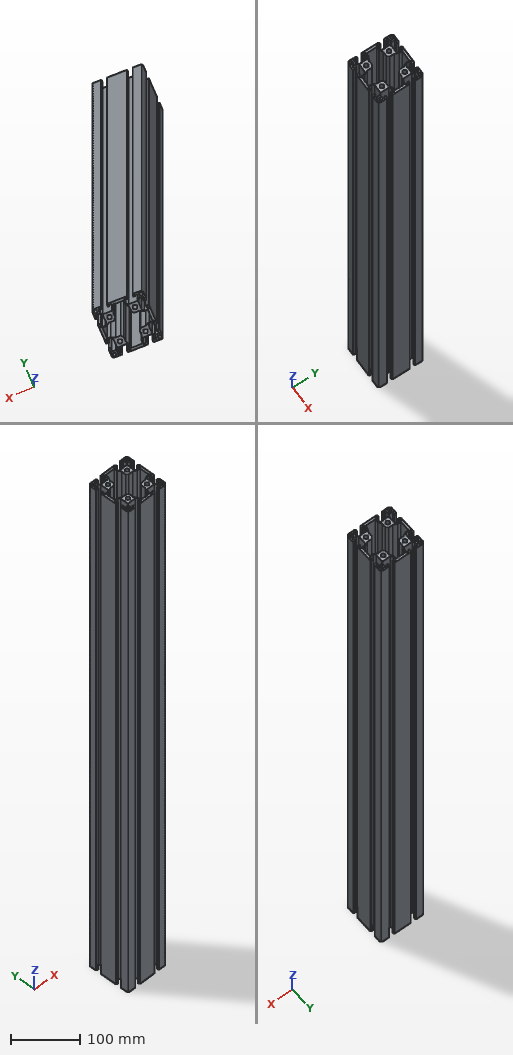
import cadquery as cq
side = 80.0
length = 1000.0
corner_radius = 4.0
half_side = side / 2

boss_offset = side / 4
boss_half_width = 7.6
boss_face = boss_offset - boss_half_width
boss_corner_chamfer = 3.5
boss_hole_diameter = 6.8

slot_mouth = 8.0
mouth_chamfer = 1.0
slot_width = 20.0
slot_bottom_chamfer = 3.0
slot_depth = boss_face

lip_thickness = 4.5
lip_root_thickness = 3.0
thick_lip_width = 2.5

outer_wall = 4.4
arm_half_width = 9.0
arm_taper_depth = 10.0
arm_taper_length = 6.5

hollow_side = 5.0
hollow_wall = 2.0


def mirrored(points):
    """Complete a right-hand half outline with its mirror image across the Y axis."""
    return points + [(-x, y) for x, y in reversed(points)]


def prism(points):
    """Extrude a closed outline over the full length."""
    return cq.Workplane("XY").polyline(points).close().extrude(length)


def square_pattern(spacing):
    """Four points at the corners of a centred square."""
    return cq.Workplane("XY").rect(spacing, spacing, forConstruction=True).vertices()


def t_slot():
    """Slot opening towards +Y, centred on X = 0."""
    mouth = slot_mouth / 2
    inner = slot_width / 2
    step = mouth + thick_lip_width
    lip = half_side - lip_thickness
    lip_root = half_side - lip_root_thickness
    floor = half_side - slot_depth
    return prism(mirrored([
        (mouth + mouth_chamfer, half_side),
        (mouth, half_side - mouth_chamfer),
        (mouth, lip),
        (step, lip),
        (step, lip_root),
        (inner, lip_root),
        (inner, floor + slot_bottom_chamfer),
        (inner - slot_bottom_chamfer, floor),
    ]))


def cavity_arm():
    """Arm of the central cavity, running from the middle towards +Y."""
    taper_top = half_side - arm_taper_depth
    boss_chamfer_end = boss_face + boss_corner_chamfer
    return prism(mirrored([
        (arm_half_width, half_side - outer_wall),
        (arm_half_width, taper_top),
        (boss_face, taper_top - arm_taper_length),
        (boss_face, boss_chamfer_end),
        (boss_chamfer_end, boss_face),
        (boss_chamfer_end, 0),
    ]))


result = cq.Workplane("XY").rect(side, side).extrude(length).edges("|Z").fillet(corner_radius)

slot = t_slot()
arm = cavity_arm()
for quarter in range(4):
    angle = 90 * quarter
    result = result.cut(arm.rotate((0, 0, 0), (0, 0, 1), angle))
    for offset in (-boss_offset, boss_offset):
        result = result.cut(slot.translate((offset, 0, 0)).rotate((0, 0, 0), (0, 0, 1), angle))

result = result.cut(square_pattern(2 * boss_offset).circle(boss_hole_diameter / 2).extrude(length))

hollow_spacing = side - 2 * hollow_wall - hollow_side
result = result.cut(square_pattern(hollow_spacing).rect(hollow_side, hollow_side).extrude(length))